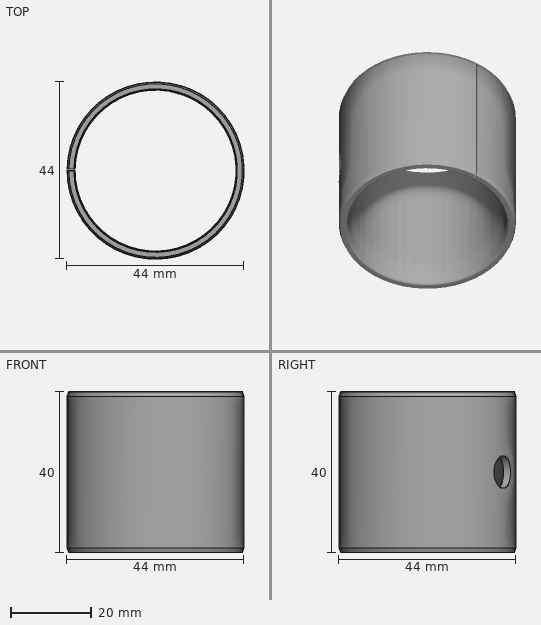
import cadquery as cq

outer_diameter = 44.0
inner_diameter = 40.0
length = 40.0

outer_chamfer_length = 1.2
outer_chamfer_depth = 0.45
inner_chamfer = 0.3

seam_gap_angle = 1.0
seam_start_angle = 180.0 - seam_gap_angle

oil_hole_diameter = 8.0
oil_hole_from_seam_angle = 120.0
oil_hole_angle = seam_start_angle - oil_hole_from_seam_angle

outer_radius = outer_diameter / 2
inner_radius = inner_diameter / 2
half_length = length / 2


def make_sleeve():
    """Revolve the chamfered wall section about Z, leaving the seam gap open."""
    outer_end_radius = outer_radius - outer_chamfer_depth
    inner_end_radius = inner_radius + inner_chamfer
    outer_edge_z = half_length - outer_chamfer_length
    inner_edge_z = half_length - inner_chamfer
    section = [
        (inner_radius, -inner_edge_z),
        (inner_end_radius, -half_length),
        (outer_end_radius, -half_length),
        (outer_radius, -outer_edge_z),
        (outer_radius, outer_edge_z),
        (outer_end_radius, half_length),
        (inner_end_radius, half_length),
        (inner_radius, inner_edge_z),
    ]
    profile = cq.Workplane("XZ").polyline(section).close()
    sleeve = profile.revolve(360.0 - seam_gap_angle, (0, 0), (0, 1))
    return sleeve.rotate((0, 0, 0), (0, 0, 1), 180.0)


def make_oil_hole_cutter():
    """Radial cylinder starting at the axis, at mid-length."""
    cylinder = cq.Workplane("YZ").circle(oil_hole_diameter / 2).extrude(outer_diameter)
    return cylinder.rotate((0, 0, 0), (0, 0, 1), oil_hole_angle)


result = make_sleeve().cut(make_oil_hole_cutter())